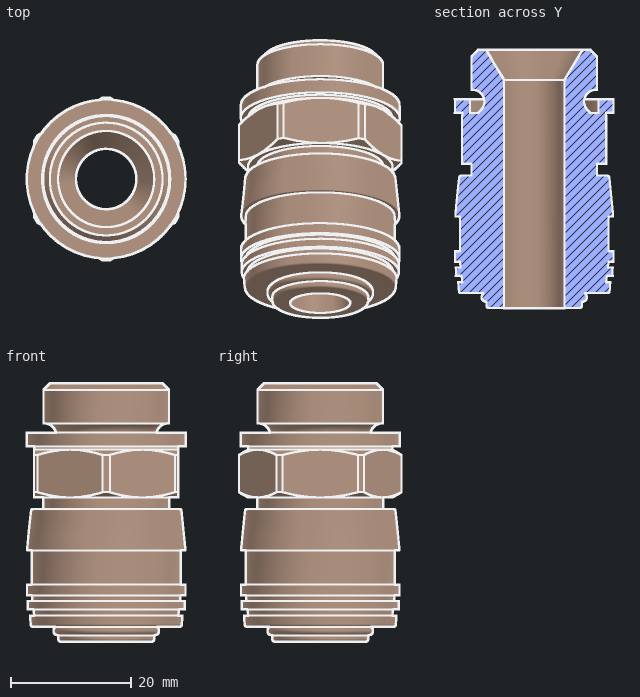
import cadquery as cq
import math

TOTAL_HEIGHT = 43.0
THREAD_BOTTOM = 36.3
WASHER_TOP = 34.8
HEX_TOP = 32.5
HEX_BOTTOM = 24.0
SLEEVE_TOP = 22.1
SLEEVE_BOTTOM = 15.2
BODY_BOTTOM = 2.5

THREAD_DIAMETER = 20.95
THREAD_CHAMFER = 1.1
UNDERCUT_FOOT_RADIUS = 9.4
UNDERCUT_FOOT_HEIGHT = 0.5
UNDERCUT_FOOT_ANGLE = math.radians(45)
WASHER_DIAMETER = 26.45
WASHER_BORE = 21.32

HEX_SIDES = 6
HEX_ACROSS_FLATS = 24.0
HEX_CORNER_DIAMETER = 27.05
HEX_CHAMFER_ANGLE = 30.0
HEX_SHOULDER = 0.55

NECK_DIAMETER = 21.0
SLEEVE_TOP_DIAMETER = 25.0
SLEEVE_BOTTOM_DIAMETER = 26.4
SLEEVE_TOP_FILLET = 0.4
SLEEVE_BOTTOM_FILLET = 0.2

BODY_DIAMETER = 24.8
BODY_TAPER_DIAMETER = 24.0

GRIP_RINGS = [(7.75, 9.5, 26.4), (5.4, 6.8, 26.15)]
END_RING_TOP = 4.35
END_RING_TOP_DIAMETER = 25.4
END_RING_BOTTOM_DIAMETER = 25.1
END_RING_FILLET = 0.45

NOSE_DIAMETER = 16.0
NOSE_FILLET = 0.5
BEAD_RADIUS = 0.75
BEAD_CENTRE_HEIGHT = 1.85
BEAD_CENTRE_RADIUS = 8.05

BORE_DIAMETER = 10.0
SEAT_DIAMETER = 16.0
SEAT_DEPTH = 5.0


def revolve(profile):
    """Turn a closed radius-height profile about the part axis."""
    return profile.revolve(360, (0, 0, 0), (0, 1, 0))


def cylinder(diameter, bottom, top):
    """Cylinder on the part axis between two heights."""
    return cq.Workplane("XY").workplane(offset=bottom).circle(diameter / 2).extrude(top - bottom)


def cone(bottom_diameter, top_diameter, bottom, top):
    """Truncated cone on the part axis between two heights."""
    profile = [(0, bottom), (bottom_diameter / 2, bottom), (top_diameter / 2, top), (0, top)]
    return revolve(cq.Workplane("XZ").polyline(profile).close())


def make_threaded_end():
    """Chamfered thread cylinder; its round undercut runs into a sloping foot on the hexagon."""
    radius = THREAD_DIAMETER / 2
    foot_top_radius = UNDERCUT_FOOT_RADIUS - UNDERCUT_FOOT_HEIGHT / math.tan(UNDERCUT_FOOT_ANGLE)
    foot_top = HEX_TOP + UNDERCUT_FOOT_HEIGHT
    arc_radius = (THREAD_BOTTOM - foot_top) / (1 + math.cos(UNDERCUT_FOOT_ANGLE))
    arc_centre_height = THREAD_BOTTOM - arc_radius
    arc_centre_radius = foot_top_radius + arc_radius * math.sin(UNDERCUT_FOOT_ANGLE)
    arc_root = (arc_centre_radius - arc_radius, arc_centre_height)
    profile = (
        cq.Workplane("XZ")
        .moveTo(0, HEX_TOP)
        .lineTo(UNDERCUT_FOOT_RADIUS, HEX_TOP)
        .lineTo(foot_top_radius, foot_top)
        .threePointArc(arc_root, (arc_centre_radius, THREAD_BOTTOM))
        .lineTo(radius, THREAD_BOTTOM)
        .lineTo(radius, TOTAL_HEIGHT - THREAD_CHAMFER)
        .lineTo(radius - THREAD_CHAMFER, TOTAL_HEIGHT)
        .lineTo(0, TOTAL_HEIGHT)
        .close()
    )
    return revolve(profile)


def make_washer():
    """Sealing washer resting on the hexagon, clear of the undercut."""
    return cylinder(WASHER_DIAMETER, HEX_TOP, WASHER_TOP).cut(cylinder(WASHER_BORE, HEX_TOP, WASHER_TOP))


def make_hexagon():
    """Hexagon with corners on Y, turned corners and chamfers at both ends."""
    flat_radius = HEX_ACROSS_FLATS / 2
    corner_radius = HEX_CORNER_DIAMETER / 2
    chamfer_height = (corner_radius - flat_radius) * math.tan(math.radians(HEX_CHAMFER_ANGLE))
    prism = (
        cq.Workplane("XY")
        .workplane(offset=HEX_BOTTOM)
        .polygon(HEX_SIDES, HEX_ACROSS_FLATS, circumscribed=True)
        .extrude(HEX_TOP - HEX_BOTTOM)
    )
    shoulder_height = HEX_TOP - HEX_SHOULDER
    envelope = [
        (0, HEX_BOTTOM),
        (flat_radius, HEX_BOTTOM),
        (corner_radius, HEX_BOTTOM + chamfer_height),
        (corner_radius, shoulder_height - chamfer_height),
        (flat_radius, shoulder_height),
        (flat_radius, HEX_TOP),
        (0, HEX_TOP),
    ]
    return prism.intersect(revolve(cq.Workplane("XZ").polyline(envelope).close()))


def make_sleeve():
    """Conical sleeve, widest at the bottom, with rounded rims."""
    sleeve = cone(SLEEVE_BOTTOM_DIAMETER, SLEEVE_TOP_DIAMETER, SLEEVE_BOTTOM, SLEEVE_TOP)
    sleeve = sleeve.faces(">Z").edges().fillet(SLEEVE_TOP_FILLET)
    return sleeve.faces("<Z").edges().fillet(SLEEVE_BOTTOM_FILLET)


def make_lower_body():
    """Body below the sleeve with its grip rings and rounded end ring."""
    taper_top = GRIP_RINGS[0][0]
    body = cylinder(BODY_DIAMETER, taper_top, SLEEVE_BOTTOM)
    body = body.union(cone(BODY_TAPER_DIAMETER, BODY_DIAMETER, END_RING_TOP, taper_top))
    for bottom, top, diameter in GRIP_RINGS:
        body = body.union(cylinder(diameter, bottom, top))
    end_ring = cone(END_RING_BOTTOM_DIAMETER, END_RING_TOP_DIAMETER, BODY_BOTTOM, END_RING_TOP)
    return body.union(end_ring.faces("<Z").edges().fillet(END_RING_FILLET))


def make_nose():
    """Rounded nose with a bead just below the body."""
    radius = NOSE_DIAMETER / 2
    top_offset = BODY_BOTTOM - BEAD_CENTRE_HEIGHT
    bead_top_radius = BEAD_CENTRE_RADIUS + math.sqrt(BEAD_RADIUS**2 - top_offset**2)
    side_offset = radius - BEAD_CENTRE_RADIUS
    bead_foot_height = BEAD_CENTRE_HEIGHT - math.sqrt(BEAD_RADIUS**2 - side_offset**2)
    bead_tip = (BEAD_CENTRE_RADIUS + BEAD_RADIUS, BEAD_CENTRE_HEIGHT)
    profile = (
        cq.Workplane("XZ")
        .lineTo(radius, 0)
        .lineTo(radius, bead_foot_height)
        .threePointArc(bead_tip, (bead_top_radius, BODY_BOTTOM))
        .lineTo(0, BODY_BOTTOM)
        .close()
    )
    return revolve(profile).faces("<Z").edges().fillet(NOSE_FILLET)


def make_bore():
    """Through bore with a conical seat at the threaded end."""
    seat = cone(BORE_DIAMETER, SEAT_DIAMETER, TOTAL_HEIGHT - SEAT_DEPTH, TOTAL_HEIGHT)
    return cylinder(BORE_DIAMETER, 0, TOTAL_HEIGHT).union(seat)


result = (
    make_hexagon()
    .union(make_threaded_end())
    .union(make_washer())
    .union(cylinder(NECK_DIAMETER, SLEEVE_TOP, HEX_BOTTOM))
    .union(make_sleeve())
    .union(make_lower_body())
    .union(make_nose())
    .cut(make_bore())
)